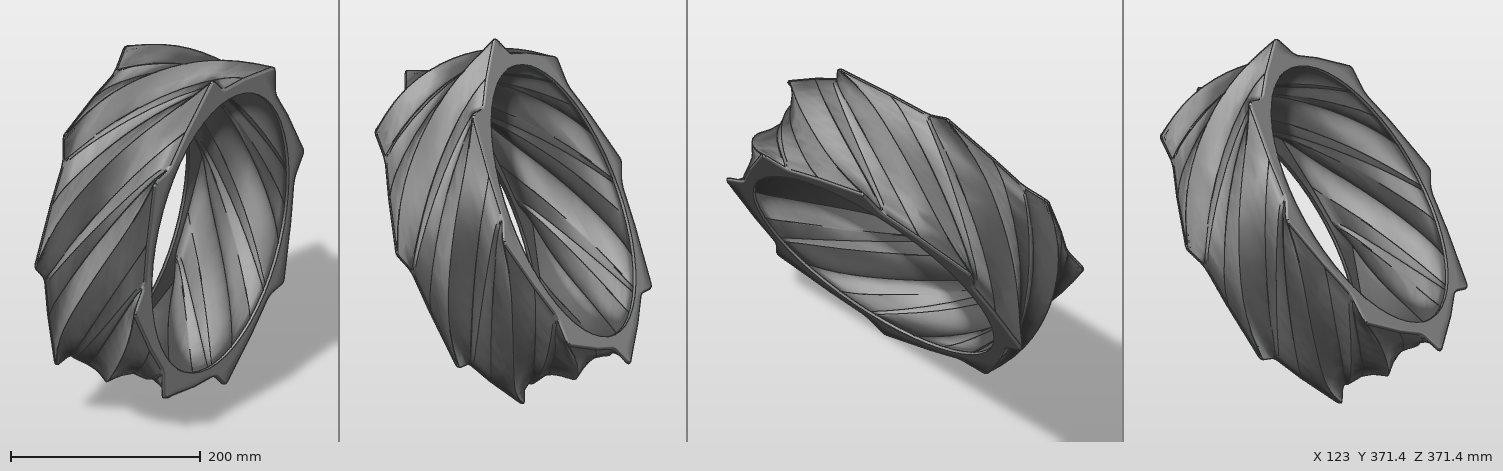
import cadquery as cq
import math

width = 123.0
half_width = width / 2
bore_radius = 151.5
wall = 3.7
flange = 3.5
edge_round = 3.0
shoulder = half_width - edge_round

tooth_count = 8
pitch = 360 / tooth_count
crest_round = 3.7
crest_end_round = 2.5
groove_round = 7.5
groove_end_round = 9.3
smallest_round = 0.7
section_count = 15
round_section_count = 4

crest_radius = 181.5
crest_flare = 6.3
groove_radius = 165.5
rib_radius = 167.8
floor_rise = 4.5
groove_end_drop = 2.5
rib_end_drop = 7.5

crest_twist = 33.0
crest_end_twist = 8.0
groove_twist = 33.5
rib_twist = 27.8
groove_end_shift = 1.5
groove_offset = 15.6


def polar(x, radius, angle):
    """Point at x; the angle is counted from -Y towards +Z."""
    turn = math.radians(angle)
    return cq.Vector(x, -radius * math.cos(turn), radius * math.sin(turn))


def inset_corner(before, corner, after, inset):
    """Corner moved so that the straight flanks on both sides of it shift inwards by inset."""
    axis = cq.Vector(1, 0, 0)
    normal_in = (corner - before).cross(axis).normalized()
    normal_out = (after - corner).cross(axis).normalized()
    bisector = normal_in + normal_out
    return corner + bisector * (inset * 2 / bisector.dot(bisector))


def round_corner(before, corner, after, radius):
    """Fillet that replaces the corner, as its two tangent points and its middle."""
    to_before = (before - corner).normalized()
    to_after = (after - corner).normalized()
    bisector = (to_before + to_after).normalized()
    half_angle = to_before.getAngle(to_after) / 2
    tangent = radius / math.tan(half_angle)
    height = radius / math.sin(half_angle) - radius
    return [corner + to_before * tangent, corner + bisector * height, corner + to_after * tangent]


def section(x, inset):
    """Corners of the corrugated cross-section at x, with its flanks moved inwards by inset."""
    t = max(-1, min(1, x / shoulder))
    end_growth = t**10
    crest_r = crest_radius + crest_flare * end_growth
    groove_r = groove_radius + floor_rise * t**2 - groove_end_drop * end_growth
    rib_r = rib_radius + floor_rise * t**2 - rib_end_drop * end_growth
    crest_angle = crest_twist * t + crest_end_twist * t**5
    groove_step = groove_offset - groove_end_shift * end_growth

    sharp = []
    for tooth in range(tooth_count):
        base = tooth * pitch
        sharp.append(polar(x, crest_r, base + crest_angle))
        sharp.append(polar(x, groove_r, base + groove_step + groove_twist * t))
        sharp.append(polar(x, rib_r, base + pitch / 2 + rib_twist * t))
        sharp.append(polar(x, groove_r, base + pitch - groove_step + groove_twist * t))

    count = len(sharp)
    inner = [
        inset_corner(sharp[i - 1], sharp[i], sharp[(i + 1) % count], inset) for i in range(count)
    ]
    crest_fillet = max(crest_round + crest_end_round * end_growth - inset, smallest_round)
    groove_fillet = groove_round + groove_end_round * end_growth + inset

    corners = []
    for i in range(0, count, count // tooth_count):
        crest, groove, rib, far_groove = inner[i:i + 4]
        next_crest = inner[(i + 4) % count]
        corners += round_corner(inner[i - 1], crest, groove, crest_fillet)
        corners += round_corner(crest, groove, rib, groove_fillet)
        corners.append(rib)
        corners += round_corner(rib, far_groove, next_crest, groove_fillet)
    return corners


def skin(stations):
    """Corrugated faces through the cross-sections at the given (x, inset) stations."""
    tracks = zip(*[section(x, inset) for x, inset in stations])
    parameters = [i / (len(stations) - 1) for i in range(len(stations))]
    curves = [cq.Edge.makeSpline(list(track), parameters=parameters) for track in tracks]
    return [cq.Face.makeRuledSurface(curves[i - 1], curves[i]) for i in range(len(curves))]


def even_stations(half_length, inset):
    """Evenly spaced stations between -half_length and half_length."""
    step = 2 * half_length / (section_count - 1)
    return [(-half_length + i * step, inset) for i in range(section_count)]


def rounded_stations(side):
    """Stations along the quarter round between the shell and one end; side is -1 or 1."""
    stations = []
    for i in range(round_section_count):
        turn = math.pi / 2 * i / (round_section_count - 1)
        x = shoulder + edge_round * math.sin(turn)
        stations.append((side * x, edge_round * (1 - math.cos(turn))))
    return stations


def ring_face(x, inset):
    """Flat face at x between the bore and the corrugated cross-section."""
    bore_edge = cq.Wire.makeCircle(bore_radius, cq.Vector(x, 0, 0), cq.Vector(1, 0, 0))
    outline = cq.Wire.makePolygon(section(x, inset), close=True)
    return cq.Face.makeFromWires(outline, [bore_edge])


def bore_face(x):
    """Bore wall of the end ring that starts at x."""
    plug = cq.Workplane("YZ", origin=(x, 0, 0)).circle(bore_radius).extrude(flange)
    return plug.faces("%CYLINDER").val()


cavity_end = half_width - flange
faces = skin(even_stations(shoulder, 0))
faces += skin(even_stations(cavity_end, wall))
for side in (-1, 1):
    faces += skin(rounded_stations(side))
    faces.append(ring_face(side * half_width, edge_round))
    faces.append(ring_face(side * cavity_end, wall))
faces += [bore_face(-half_width), bore_face(cavity_end)]

result = cq.Workplane(cq.Solid.makeSolid(cq.Shell.makeShell(faces)))